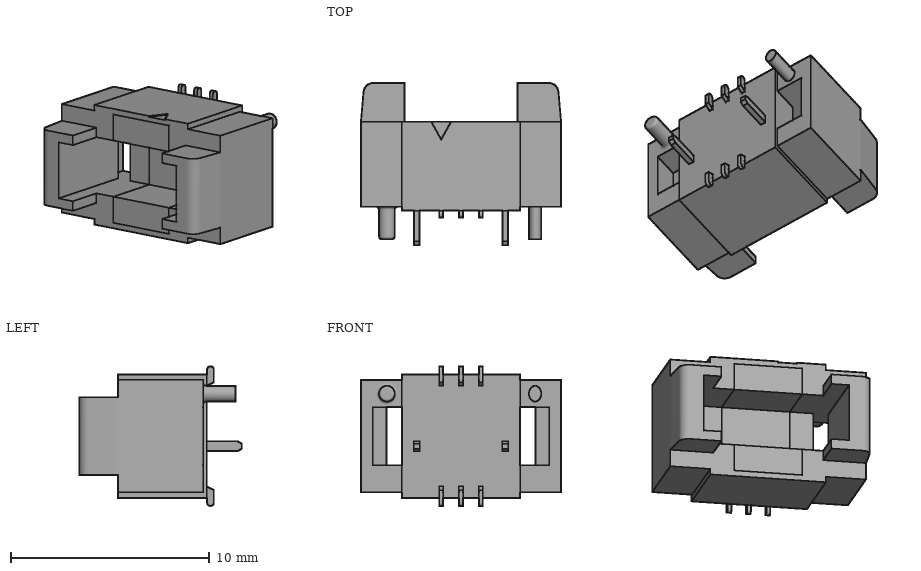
import cadquery as cq
import math


core_width = 5.96
core_height = 6.24
core_back = 4.49

wing_width = 10.1
wing_height = 5.67
wing_front = 0.19

arm_inner_x = 2.84
arm_end = 6.44
arm_height = 3.93
arm_taper = 5.0
arm_corner_radius = 0.5

opening_height = 2.93
cavity_width = 7.49
cavity_front = 1.54
slot_width = 8.91

mark_width = 1.01
mark_length = 0.91
mark_depth = 0.05

peg_x = 3.74
peg_z = 2.14
peg_tip = -1.44
peg_diameter = 0.8
peg_base_radius = 0.15
peg_tip_radius = 0.14
oval_width = 0.63
oval_joint_x = 0.16
oval_joint_z = 0.33

post_x = 2.23
post_z = -0.5
post_width = 0.28
post_height = 0.5
post_tip = -1.76
post_chamfer_length = 0.21
post_chamfer_height = 0.12

insert_width = 3.51
insert_height = 5.66
web_thickness = 0.5
web_front = cavity_front - web_thickness

foot_pitch = 1.0
foot_width = 0.2
foot_thickness = 0.35
foot_end_z = 3.52
foot_root_z = 2.54
foot_bevel_z = 2.72
foot_columns = (-1, 0, 1)

sides = (-1, 1)

embed = 0.1


def block(width, height, front, back):
    """Box centred on X and Z, between two Y positions."""
    depth = back - front
    return cq.Workplane("XY").box(width, depth, height).translate((0, front + depth / 2, 0))


def make_right_arm():
    """Guide arm behind the right wing, with a tapered outer side and a rounded corner."""
    base_x = wing_width / 2
    tip_x = base_x - (arm_end - core_back) * math.tan(math.radians(arm_taper))
    outline = [
        (arm_inner_x, core_back - embed),
        (base_x, core_back - embed),
        (base_x, core_back),
        (tip_x, arm_end),
        (arm_inner_x, arm_end),
    ]
    arm = cq.Workplane("XY").polyline(outline).close().extrude(arm_height / 2, both=True)
    outer_corner = cq.selectors.NearestToPointSelector((tip_x, arm_end, 0))
    return arm.edges(outer_corner).fillet(arm_corner_radius)


def make_round_peg():
    """Turned peg with a rounded tip and a fillet where it leaves the wing."""
    radius = peg_diameter / 2
    base = radius + peg_base_radius
    return (
        cq.Workplane("XY")
        .moveTo(0, wing_front + embed)
        .lineTo(base, wing_front + embed)
        .lineTo(base, wing_front)
        .radiusArc((radius, wing_front - peg_base_radius), -peg_base_radius)
        .lineTo(radius, peg_tip + peg_tip_radius)
        .radiusArc((radius - peg_tip_radius, peg_tip), peg_tip_radius)
        .lineTo(0, peg_tip)
        .close()
        .revolve(360, (0, 0), (0, 1))
        .translate((-peg_x, 0, peg_z))
    )


def make_oval_peg():
    """Straight peg whose oval section has two end arcs and two flatter side arcs."""
    half_width = oval_width / 2
    half_height = peg_diameter / 2
    return (
        cq.Workplane("XZ", origin=(peg_x, wing_front + embed, peg_z))
        .moveTo(-oval_joint_x, oval_joint_z)
        .threePointArc((0, half_height), (oval_joint_x, oval_joint_z))
        .threePointArc((half_width, 0), (oval_joint_x, -oval_joint_z))
        .threePointArc((0, -half_height), (-oval_joint_x, -oval_joint_z))
        .threePointArc((-half_width, 0), (-oval_joint_x, oval_joint_z))
        .close()
        .extrude(wing_front + embed - peg_tip)
    )


def make_post(x):
    """Hold-down post with a tip chamfered above and below."""
    half = post_height / 2
    tip_half = half - post_chamfer_height
    shoulder = post_tip + post_chamfer_length
    outline = [
        (0, -half),
        (shoulder, -half),
        (post_tip, -tip_half),
        (post_tip, tip_half),
        (shoulder, half),
        (0, half),
    ]
    post = cq.Workplane("YZ").polyline(outline).close().extrude(post_width / 2, both=True)
    return post.translate((x, 0, post_z))


def make_pin_one_mark():
    """Triangular recess over the left contact, open at the back edge."""
    outline = [(-mark_width / 2, 0), (mark_width / 2, 0), (0, -mark_length)]
    return (
        cq.Workplane("XY", origin=(-foot_pitch, core_back, core_height / 2))
        .polyline(outline)
        .close()
        .extrude(-mark_depth)
    )


def make_cavity():
    return block(cavity_width, opening_height, cavity_front, arm_end)


def make_wing_slots():
    """Slots through the wing fronts, one on each side of the core block."""
    full_slot = block(slot_width, opening_height, wing_front, cavity_front)
    return full_slot.cut(block(core_width, opening_height, wing_front, cavity_front))


def make_foot(x):
    """Upper contact foot with a round end, a bevelled root and a leg back to the web."""
    round_radius = foot_thickness / 2
    foot = (
        cq.Workplane("YZ")
        .moveTo(0, foot_root_z)
        .lineTo(-foot_thickness, foot_bevel_z)
        .lineTo(-foot_thickness, foot_end_z - round_radius)
        .radiusArc((0, foot_end_z - round_radius), round_radius)
        .lineTo(0, insert_height / 2)
        .lineTo(web_front, insert_height / 2)
        .lineTo(web_front, foot_root_z)
        .close()
        .extrude(foot_width / 2, both=True)
    )
    return foot.translate((x, 0, 0))


def make_insert():
    """Contact insert: web, two rails and a foot above and below for each contact column."""
    insert = block(insert_width, insert_height, web_front, core_back).cut(make_cavity())
    for column in foot_columns:
        foot = make_foot(column * foot_pitch)
        insert = insert.union(foot).union(foot.mirror("XY"))
    return insert


def make_housing(insert):
    """Housing with a recess that matches the insert."""
    housing = block(core_width, core_height, 0, core_back)
    housing = housing.union(block(wing_width, wing_height, wing_front, core_back))
    right_arm = make_right_arm()
    housing = housing.union(right_arm).union(right_arm.mirror("YZ"))
    housing = housing.union(make_round_peg()).union(make_oval_peg())
    for side in sides:
        housing = housing.union(make_post(side * post_x))
    housing = housing.cut(make_wing_slots()).cut(make_cavity())
    return housing.cut(make_pin_one_mark()).cut(insert)


contact_insert = make_insert()
housing = make_housing(contact_insert)

result = cq.Compound.makeCompound([housing.solids().val(), contact_insert.solids().val()])